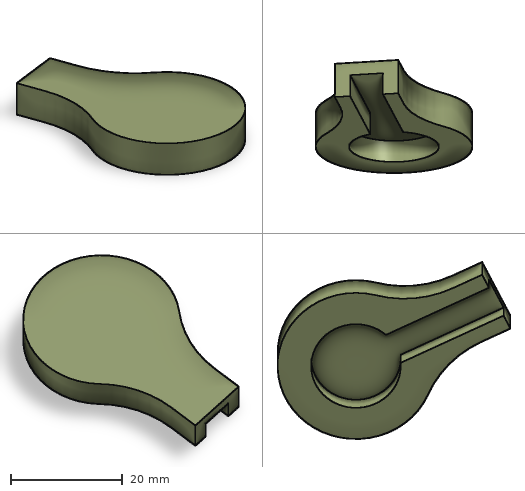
import cadquery as cq
import math

length = 41.95
thickness = 6.35
head_radius = 14.0
head_x = length - head_radius

neck_width = 11.5
neck_length = 5.85
neck_half = neck_width / 2

channel_width = 5.95
recess_depth = 4.0
pocket_radius = 8.0

flank_end_x = 18.88
flank_end_y = math.sqrt(head_radius**2 - (head_x - flank_end_x) ** 2)
flank_run = flank_end_x - neck_length
flank_rise = flank_end_y - neck_half
flank_radius = (flank_run**2 + flank_rise**2) / (2 * flank_rise)
flank_center_y = neck_half + flank_radius
flank_sweep = math.asin(flank_run / flank_radius)


def flank_point(angle):
    """Point on the +Y flank, turned by angle from its tangent point on the neck."""
    return (
        neck_length + flank_radius * math.sin(angle),
        flank_center_y - flank_radius * math.cos(angle),
    )


def mirrored(point):
    return (point[0], -point[1])


def make_body():
    flank_middle = flank_point(flank_sweep / 2)
    flank_end = flank_point(flank_sweep)
    return (
        cq.Workplane("XY")
        .moveTo(0, -neck_half)
        .lineTo(neck_length, -neck_half)
        .threePointArc(mirrored(flank_middle), mirrored(flank_end))
        .threePointArc((length, 0), flank_end)
        .threePointArc(flank_middle, (neck_length, neck_half))
        .lineTo(0, neck_half)
        .close()
        .extrude(thickness)
    )


def make_recess():
    pocket = cq.Workplane("XY").center(head_x, 0).circle(pocket_radius).extrude(recess_depth)
    channel = cq.Workplane("XY").box(head_x, channel_width, recess_depth, centered=(False, True, False))
    return pocket.union(channel)


result = make_body().cut(make_recess())